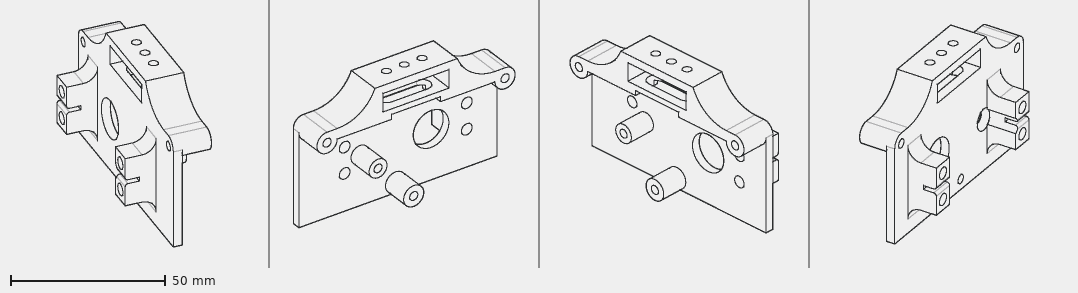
import cadquery as cq
import math

width = 78.05
height = 50.2
plate_thickness = 3.2
depth = 13.5
shoulder_height = 40.1
shoulder_arc_radius = 16.0
shoulder_arc_start = 31.05
relief_width = 19.2
relief_top = 38.0

post_diameter = 7.95
corner_radius = post_diameter / 2
screw_hole_diameter = 3.2
lower_post_x = 0.9
corner_x = width / 2 - corner_radius
corner_z = shoulder_height - corner_radius
band_bottom = corner_z

axis_z = 19.35
large_hole_diameter = 14.0
large_hole_x = -13.0
countersink_x = 15.0
countersink_post_diameter = 7.0
countersink_diameter = 8.0
countersink_floor_diameter = 4.2
countersink_depth = 2.35
countersink_hole_diameter = 3.1

window_width = 26.1
window_bottom = shoulder_height
window_top = 47.1
top_hole_spacing = 7.0
band_slot_length = 20.3
band_slot_width = 6.4
band_middle_y = depth / 2

clamp_positions = (-27.1, 21.0)
clamp_width = 8.0
clamp_reach = 10.9
clamp_half_height = 9.0
clamp_root_radius = 5.0
clamp_hole_diameter = 4.2
clamp_hole_offset = 5.0
slit_width = 1.5
slit_depth = 5.0
slit_edge_radius = 1.0


def rod(x, z, diameter, y_start, y_end):
    """Cylinder along Y between two Y positions."""
    length = y_end - y_start
    return cq.Workplane(cq.Solid.makeCylinder(
        diameter / 2, length, cq.Vector(x, y_start, z), cq.Vector(0, 1, 0)))


def block(x_size, y_start, y_end, z_start, z_end):
    """Box centred on X = 0 between the given Y and Z limits."""
    return cq.Workplane("XY").box(
        x_size, y_end - y_start, z_end - z_start, centered=(True, False, False)
    ).translate((0, y_start, z_start))


def contour(thickness):
    """Plate outline with rounded corners and concave shoulders, extruded toward +Y."""
    arc_center_z = shoulder_height + shoulder_arc_radius
    top_drop = arc_center_z - height
    top_half = shoulder_arc_start - math.sqrt(shoulder_arc_radius**2 - top_drop**2)
    end_angle = math.asin(top_drop / shoulder_arc_radius)
    middle_angle = (end_angle + math.pi / 2) / 2
    arc_x = shoulder_arc_start - shoulder_arc_radius * math.cos(middle_angle)
    arc_z = arc_center_z - shoulder_arc_radius * math.sin(middle_angle)
    corner_x_mid = corner_x + corner_radius * math.sqrt(0.5)
    corner_z_mid = corner_z + corner_radius * math.sqrt(0.5)
    return (
        cq.Workplane("XZ")
        .moveTo(-width / 2, 0)
        .lineTo(width / 2, 0)
        .lineTo(width / 2, corner_z)
        .threePointArc((corner_x_mid, corner_z_mid), (corner_x, shoulder_height))
        .lineTo(shoulder_arc_start, shoulder_height)
        .threePointArc((arc_x, arc_z), (top_half, height))
        .lineTo(-top_half, height)
        .threePointArc((-arc_x, arc_z), (-shoulder_arc_start, shoulder_height))
        .lineTo(-corner_x, shoulder_height)
        .threePointArc((-corner_x_mid, corner_z_mid), (-width / 2, corner_z))
        .close()
        .extrude(-thickness)
    )


def clamp(x):
    """Split clamp with flared root, standing out from the front face."""
    root_half = clamp_half_height + clamp_root_radius
    arc_offset = clamp_root_radius * (1 - math.sqrt(0.5))
    slit_half = slit_width / 2
    slit_floor = slit_depth - clamp_reach
    lip_half = slit_half + slit_edge_radius
    lip_y = slit_edge_radius - clamp_reach
    lip_offset = slit_edge_radius * (1 - math.sqrt(0.5))
    profile = (
        cq.Workplane("YZ")
        .moveTo(0, -root_half)
        .threePointArc((-arc_offset, -clamp_half_height - arc_offset),
                       (-clamp_root_radius, -clamp_half_height))
        .lineTo(-clamp_reach, -clamp_half_height)
        .lineTo(-clamp_reach, -lip_half)
        .threePointArc((-clamp_reach + lip_offset, -slit_half - lip_offset), (lip_y, -slit_half))
        .lineTo(slit_floor, -slit_half)
        .lineTo(slit_floor, slit_half)
        .lineTo(lip_y, slit_half)
        .threePointArc((-clamp_reach + lip_offset, slit_half + lip_offset), (-clamp_reach, lip_half))
        .lineTo(-clamp_reach, clamp_half_height)
        .lineTo(-clamp_root_radius, clamp_half_height)
        .threePointArc((-arc_offset, clamp_half_height + arc_offset), (0, root_half))
        .lineTo(plate_thickness, root_half)
        .lineTo(plate_thickness, -root_half)
        .close()
        .extrude(clamp_width / 2, both=True)
    )
    return profile.translate((x, 0, axis_z))


def countersink():
    """Screw clearance, conical seat and driver access along one Y axis."""
    hole = rod(countersink_x, axis_z, countersink_hole_diameter, 0, depth)
    access = rod(countersink_x, axis_z, countersink_post_diameter, -clamp_reach, 0)
    seat = cq.Workplane(cq.Solid.makeCone(
        countersink_diameter / 2, countersink_floor_diameter / 2, countersink_depth,
        cq.Vector(countersink_x, 0, axis_z), cq.Vector(0, 1, 0)))
    return hole.union(seat).union(access)


band = contour(depth).intersect(block(width, 0, depth, band_bottom, height))
band = band.cut(block(relief_width, plate_thickness, depth, band_bottom, relief_top))
body = contour(plate_thickness).union(band)
screw_points = ((-corner_x, corner_z), (corner_x, corner_z), (lower_post_x, corner_radius))
for x, z in screw_points:
    body = body.union(rod(x, z, post_diameter, plate_thickness, depth))
body = body.union(rod(countersink_x, axis_z, countersink_post_diameter, plate_thickness, depth))

for x in clamp_positions:
    body = body.union(clamp(x))
    for offset in (-clamp_hole_offset, clamp_hole_offset):
        body = body.cut(rod(x, axis_z + offset, clamp_hole_diameter, -clamp_reach, plate_thickness))

for x, z in screw_points:
    body = body.cut(rod(x, z, screw_hole_diameter, 0, depth))
body = body.cut(rod(large_hole_x, axis_z, large_hole_diameter, 0, plate_thickness))
body = body.cut(countersink())
body = body.cut(block(window_width, 0, depth, window_bottom, window_top))

band_slot = (
    cq.Workplane("XY", origin=(0, band_middle_y, band_bottom))
    .slot2D(band_slot_length, band_slot_width)
    .extrude(window_bottom - band_bottom)
)
body = body.cut(band_slot)

top_holes = (
    cq.Workplane("XY", origin=(0, band_middle_y, window_top))
    .rarray(top_hole_spacing, 0.8, 3, 1)
    .circle(screw_hole_diameter / 2)
    .extrude(height - window_top)
)
result = body.cut(top_holes)